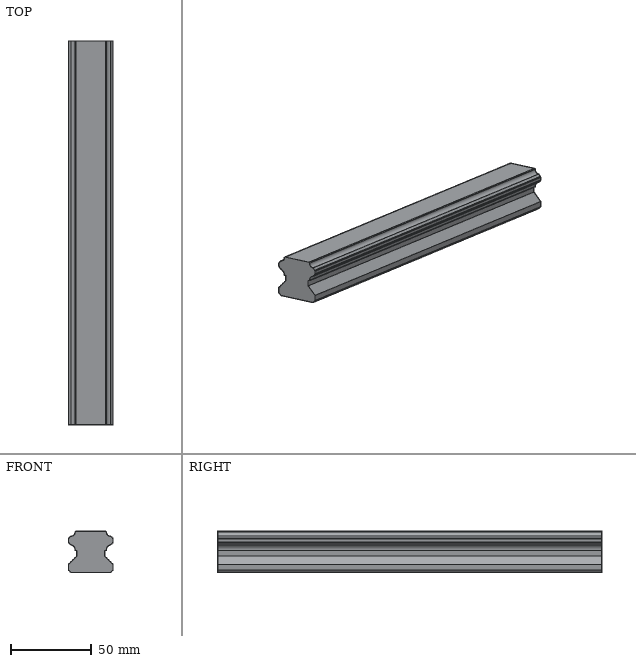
import cadquery as cq

length = 240.0
width = 28.0
height = 26.0

foot_bevel = 1.7
nose_bevel = 1.32
tip_rise = 0.6
tip_depth = 0.2
top_width = 18.5
waist_width = 17.5
lip_width = 19.7
nose_top = 22.8
nose_bottom = 17.3
upper_lip = 25.5
lower_lip = 14.0
waist_top = 13.7
waist_bottom = 10.3
groove_sag = 0.85

half_width = width / 2
half_top = top_width / 2
half_waist = waist_width / 2
half_lip = lip_width / 2
facet_x = half_width - tip_depth
groove_x = facet_x - nose_bevel
foot_top = waist_bottom - (half_width - half_waist)


def half_profile():
    """Right half of the rail section in XZ, closed along the middle plane."""
    return (
        cq.Workplane("XZ")
        .moveTo(0, 0)
        .lineTo(half_width - foot_bevel, 0)
        .lineTo(half_width, foot_bevel)
        .lineTo(half_width, foot_top)
        .lineTo(half_waist, waist_bottom)
        .lineTo(half_waist, waist_top)
        .lineTo(half_lip, lower_lip)
        .sagittaArc((groove_x, nose_bottom), groove_sag)
        .lineTo(facet_x, nose_bottom + nose_bevel)
        .lineTo(half_width, nose_bottom + nose_bevel + tip_rise)
        .lineTo(half_width, nose_top - nose_bevel - tip_rise)
        .lineTo(facet_x, nose_top - nose_bevel)
        .lineTo(groove_x, nose_top)
        .sagittaArc((half_lip, upper_lip), groove_sag)
        .lineTo(half_top, height)
        .lineTo(0, height)
        .close()
    )


half_rail = half_profile().extrude(length / 2, both=True)
result = half_rail.union(half_rail.mirror("YZ")).clean()